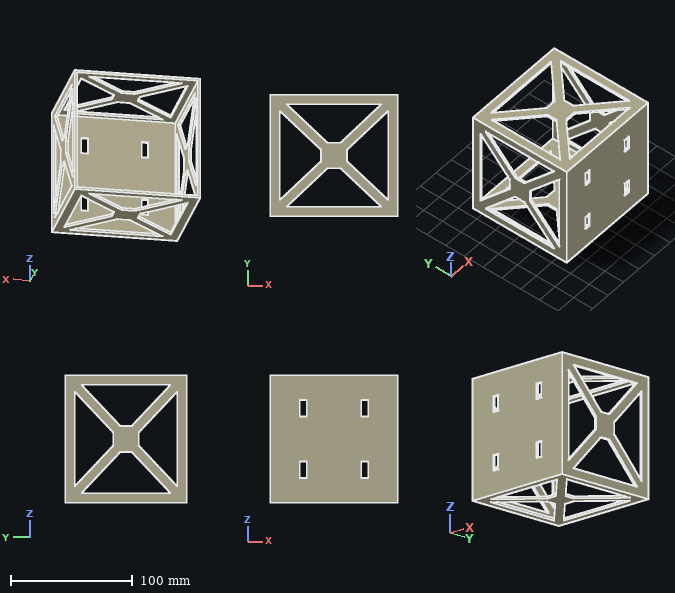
import cadquery as cq
import math

WIDTH = 105.0
DEPTH = 100.0
HEIGHT = 105.0
WALL = 2.0

BORDER = 8.0
STRUT_WIDTH = 8.0
HUB_DEPTH = 21.0
HUB_LENGTH = 21.75

SLOT_WIDTH = 5.5
SLOT_HEIGHT = 13.5
SLOT_SPACING = 50.5


def open_box():
    """Thin-walled box with its +Y side left open."""
    return cq.Workplane("XY").box(WIDTH, DEPTH, HEIGHT).faces(">Y").shell(-WALL)


def lattice_opening(panel_length, cut_depth):
    """Cutter for a lattice: the frame opening less a central hub and two crossed struts."""
    opening_length = panel_length - 2 * BORDER
    opening_depth = DEPTH - 2 * BORDER
    diagonal = math.hypot(panel_length, DEPTH)
    strut_angle = math.degrees(math.atan2(opening_depth, opening_length))

    opening = cq.Workplane("XY").box(opening_length, opening_depth, cut_depth)
    hub = cq.Workplane("XY").box(HUB_LENGTH, HUB_DEPTH, cut_depth)
    strut = cq.Workplane("XY").box(diagonal, STRUT_WIDTH, cut_depth)

    opening = opening.cut(hub)
    for angle in (strut_angle, -strut_angle):
        opening = opening.cut(strut.rotate((0, 0, 0), (0, 0, 1), angle))
    return opening


def slots():
    """Cutters for the four slots through the closed -Y wall."""
    return (
        cq.Workplane("XZ", origin=(0, -DEPTH / 2 + WALL, 0))
        .rarray(SLOT_SPACING, SLOT_SPACING, 2, 2)
        .rect(SLOT_WIDTH, SLOT_HEIGHT)
        .extrude(WALL)
    )


top_and_bottom = lattice_opening(WIDTH, HEIGHT)
left_and_right = lattice_opening(HEIGHT, WIDTH).rotate((0, 0, 0), (0, 1, 0), 90)

result = open_box().cut(slots()).cut(top_and_bottom).cut(left_and_right)